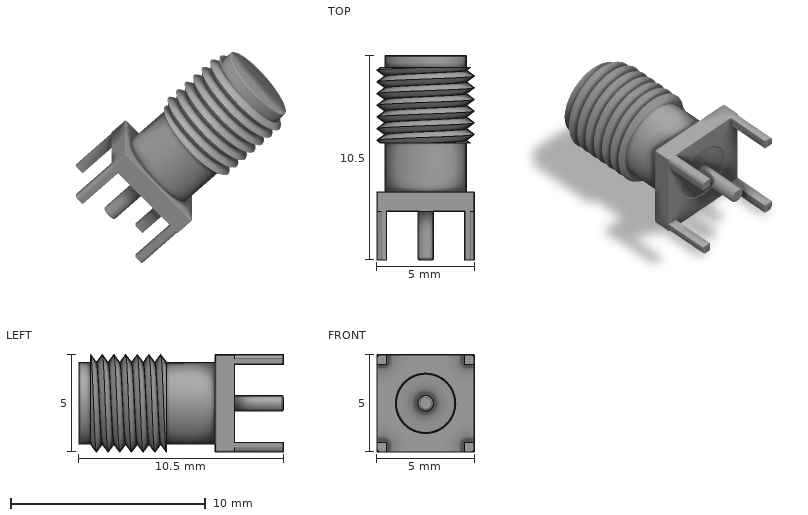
import cadquery as cq


flange_side = 5.0
flange_thickness = 1.0
flange_edge_radius = 0.04

barrel_diameter = 4.2
barrel_length = 7.0
barrel_edge_radius = 0.05
barrel_end = flange_thickness + barrel_length

thread_diameter = flange_side
thread_pitch = 0.6
thread_length = 6.5 * thread_pitch
thread_relief = 0.6
thread_start = barrel_end - thread_relief - thread_length
root_flat = 0.01
root_overlap = 0.1
run_out = 2 * thread_pitch
crest_offset = 0.75 * thread_pitch

leg_side = 0.5
leg_length = 2.5
leg_edge_radius = 0.2
contact_diameter = 0.8
contact_edge_radius = 0.1

recess_diameter = 3.1
recess_depth = 0.05


def cylinder_along_y(diameter, start, length):
    plane = cq.Workplane("XZ", origin=(0, start, 0))
    return plane.circle(diameter / 2).extrude(-length)


def make_flange():
    plane = cq.Workplane("XZ")
    flange = plane.rect(flange_side, flange_side).extrude(-flange_thickness)
    return flange.edges("|Y or >Y").fillet(flange_edge_radius)


def make_barrel():
    barrel = cylinder_along_y(barrel_diameter, 0, barrel_end)
    return barrel.faces(">Y").edges().fillet(barrel_edge_radius)


def make_thread():
    """Sharp V ridge swept along a helix about Z, turned onto Y and trimmed flat."""
    root_radius = barrel_diameter / 2
    crest_radius = thread_diameter / 2
    half_base = (thread_pitch - root_flat) / 2
    helix = cq.Wire.makeHelix(thread_pitch, thread_length + 2 * run_out, root_radius)
    profile = (
        cq.Workplane("XZ")
        .moveTo(root_radius - root_overlap, -half_base)
        .lineTo(root_radius, -half_base)
        .lineTo(crest_radius, 0)
        .lineTo(root_radius, half_base)
        .lineTo(root_radius - root_overlap, half_base)
        .close()
    )
    ridge = profile.sweep(cq.Workplane(helix), isFrenet=True)
    ridge = ridge.rotate((0, 0, 0), (1, 0, 0), -90)
    ridge = ridge.translate((0, thread_start + crest_offset - run_out, 0))
    trim = cylinder_along_y(2 * thread_diameter, thread_start, thread_length)
    return ridge.intersect(trim)


def make_leg(x_side, z_side):
    """Square leg in one flange corner, with its outermost long edge rounded."""
    centre = (flange_side - leg_side) / 2
    plane = cq.Workplane("XZ", origin=(x_side * centre, 0, z_side * centre))
    leg = plane.rect(leg_side, leg_side).extrude(leg_length)
    outer_edge = cq.selectors.NearestToPointSelector(
        (x_side * flange_side / 2, -leg_length / 2, z_side * flange_side / 2)
    )
    return leg.edges(outer_edge).fillet(leg_edge_radius)


def make_contact():
    """Centre pin rising from the floor of the recess, with a rounded tip."""
    contact = cylinder_along_y(contact_diameter, -leg_length, leg_length + recess_depth)
    return contact.faces("<Y").edges().fillet(contact_edge_radius)


def make_recess():
    """Shallow disc with a 45 degree conical wall, widest at the rear face."""
    floor_diameter = recess_diameter - 2 * recess_depth
    rim = cq.Workplane("XZ").circle(recess_diameter / 2)
    floor = rim.workplane(offset=-recess_depth).circle(floor_diameter / 2)
    return floor.loft(ruled=True)


result = make_flange().union(make_barrel()).union(make_thread())
result = result.cut(make_recess())
for x_side in (-1, 1):
    for z_side in (-1, 1):
        result = result.union(make_leg(x_side, z_side))
result = result.union(make_contact())